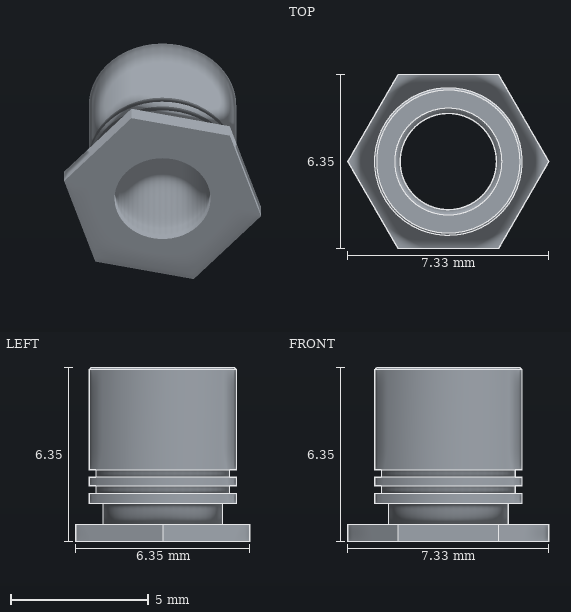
import cadquery as cq
import math

hex_sides = 6
hex_across_flats = 6.35
flange_thickness = 0.635

total_height = 6.35
body_diameter = 5.38
groove_diameter = 4.88
neck_diameter = 4.37
body_chamfer = 0.08

lower_ring_bottom = 1.39
lower_ring_top = 1.76
upper_ring_bottom = 2.03
upper_ring_top = 2.35
body_bottom = 2.62

bore_diameter = 3.5
mouth_diameter = 3.9
mouth_depth = (mouth_diameter - bore_diameter) / 2


def cylinder(diameter, bottom, top):
    """Solid cylinder on the Z axis between two heights."""
    return cq.Workplane("XY").workplane(offset=bottom).circle(diameter / 2).extrude(top - bottom)


def make_flange():
    across_corners = hex_across_flats / math.cos(math.pi / hex_sides)
    return cq.Workplane("XY").polygon(hex_sides, across_corners).extrude(flange_thickness)


def make_barrel():
    neck = cylinder(neck_diameter, flange_thickness, lower_ring_bottom)
    groove_core = cylinder(groove_diameter, lower_ring_bottom, body_bottom)
    body = cylinder(body_diameter, body_bottom, total_height).faces(">Z").chamfer(body_chamfer)
    barrel = neck.union(groove_core).union(body)
    for bottom, top in ((lower_ring_bottom, lower_ring_top), (upper_ring_bottom, upper_ring_top)):
        barrel = barrel.union(cylinder(body_diameter, bottom, top))
    return barrel


def make_bore():
    bore = cylinder(bore_diameter, 0, total_height)
    mouth = (
        cq.Workplane("XY")
        .workplane(offset=total_height - mouth_depth)
        .circle(bore_diameter / 2)
        .workplane(offset=mouth_depth)
        .circle(mouth_diameter / 2)
        .loft(ruled=True)
    )
    return bore.union(mouth)


result = make_flange().union(make_barrel()).cut(make_bore())